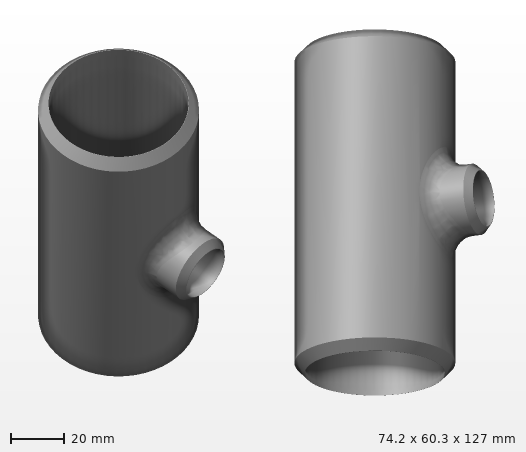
import cadquery as cq

run_length = 127.0
run_radius = 30.16
run_wall = 4.0
run_bevel_height = 4.0
run_land = 0.1

branch_reach = 44.0
branch_radius = 13.5
branch_wall = 2.9
branch_bevel_length = 2.8
branch_land = 0.3
blend_radius = 8.0


def bevelled_cylinder(radius, start, end, bevel_width, bevel_length, both_ends):
    """Solid cylinder along Z, bevelled at its end and optionally at its start."""
    tip_radius = radius - bevel_width
    profile = cq.Workplane("XZ").moveTo(0, start)
    if both_ends:
        profile = profile.lineTo(tip_radius, start).lineTo(radius, start + bevel_length)
    else:
        profile = profile.lineTo(radius, start)
    profile = profile.lineTo(radius, end - bevel_length).lineTo(tip_radius, end).lineTo(0, end)
    return profile.close().revolve(360, (0, 0, 0), (0, 1, 0))


def along_x(shape):
    """Turn a shape built along Z so that it points along +X."""
    return shape.rotate((0, 0, 0), (0, 1, 0), 90)


run = bevelled_cylinder(
    run_radius, -run_length / 2, run_length / 2, run_wall - run_land, run_bevel_height, True
)
branch = along_x(
    bevelled_cylinder(
        branch_radius, 0, branch_reach, branch_wall - branch_land, branch_bevel_length, False
    )
)
joint_box = cq.selectors.BoxSelector(
    (0, -run_radius, -run_radius),
    (run_radius + 1.3, run_radius, run_radius),
    boundingbox=True,
)
body = run.union(branch).edges(joint_box).fillet(blend_radius)

run_bore = cq.Workplane("XY").circle(run_radius - run_wall).extrude(run_length / 2, both=True)
branch_bore = cq.Workplane("YZ").circle(branch_radius - branch_wall).extrude(branch_reach)

result = body.cut(run_bore).cut(branch_bore)